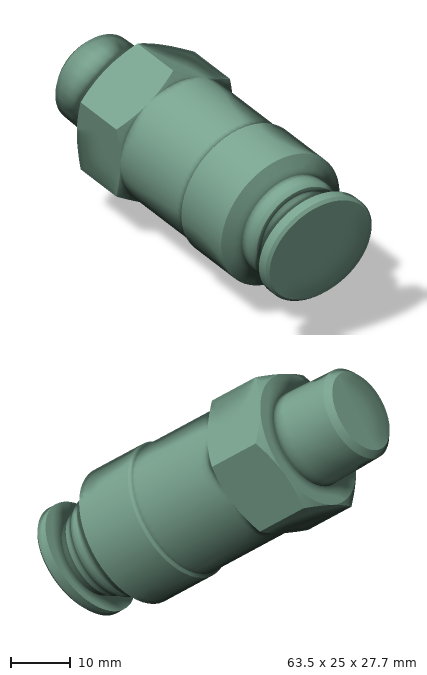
import cadquery as cq
import math

length = 63.5
hex_start = 11.95
hex_width = 12.0
body_end = 40.95
sleeve_end = 52.45
cone_end = 54.2
ring_round_start = 56.1
ring_end = 57.6
step_end = 59.55
flange_start = 61.2

tip_radius = 7.2
thread_radius = 8.25
tip_chamfer = 1.1
thread_taper = 1 / 32

across_flats = 24.0
hex_chamfer_angle = math.radians(30)

sleeve_radius = 12.5
ring_radius = 9.45
ring_end_radius = 8.9
step_radius = 8.0
neck_radius = 7.2

flange_size_y = 22.5
flange_size_z = 19.3
flange_chamfer = 0.5

hex_end = hex_start + hex_width
body_radius = across_flats / 2
sleeve_chamfer = sleeve_radius - body_radius
across_corners = 2 * across_flats / math.sqrt(3)


def revolve_about_x(profile):
    """Close a half profile in the XY plane and turn it about the X axis."""
    return profile.close().revolve(360, (0, 0, 0), (1, 0, 0))


def make_thread():
    """Chamfered plug that widens slightly toward the hexagon."""
    root_radius = thread_radius + (hex_start - tip_chamfer) * thread_taper
    return revolve_about_x(
        cq.Workplane("XY")
        .lineTo(0, tip_radius)
        .lineTo(tip_chamfer, thread_radius)
        .lineTo(hex_start, root_radius)
        .lineTo(hex_start, 0)
    )


def make_hexagon():
    """Hexagon with corners on +-Z, both ends chamfered conically down to the flats."""
    prism = (
        cq.Workplane("YZ", origin=(hex_start, 0, 0))
        .polygon(6, across_corners)
        .extrude(hex_width)
        .rotate((0, 0, 0), (1, 0, 0), 90)
    )
    corner_radius = across_corners / 2
    chamfer_length = (corner_radius - body_radius) * math.tan(hex_chamfer_angle)
    envelope = revolve_about_x(
        cq.Workplane("XY")
        .moveTo(hex_start, 0)
        .lineTo(hex_start, body_radius)
        .lineTo(hex_start + chamfer_length, corner_radius)
        .lineTo(hex_end - chamfer_length, corner_radius)
        .lineTo(hex_end, body_radius)
        .lineTo(hex_end, 0)
    )
    return prism.intersect(envelope)


def make_body_and_collar():
    """Round body, wider sleeve with a conical end, rounded ring, step and neck."""
    return revolve_about_x(
        cq.Workplane("XY")
        .moveTo(hex_end, 0)
        .lineTo(hex_end, body_radius)
        .lineTo(body_end, body_radius)
        .lineTo(body_end + sleeve_chamfer, sleeve_radius)
        .lineTo(sleeve_end, sleeve_radius)
        .lineTo(cone_end, ring_radius)
        .lineTo(ring_round_start, ring_radius)
        .tangentArcPoint((ring_end, ring_end_radius), relative=False)
        .lineTo(ring_end, step_radius)
        .lineTo(step_end, step_radius)
        .lineTo(step_end, neck_radius)
        .lineTo(flange_start, neck_radius)
        .lineTo(flange_start, 0)
    )


def make_flange():
    """Elliptical disc, wider along Y, with its outer end chamfered."""
    return (
        cq.Workplane("YZ", origin=(flange_start, 0, 0))
        .ellipse(flange_size_y / 2, flange_size_z / 2)
        .extrude(length - flange_start)
        .faces(">X")
        .chamfer(flange_chamfer)
    )


result = make_thread().union(make_hexagon()).union(make_body_and_collar()).union(make_flange())